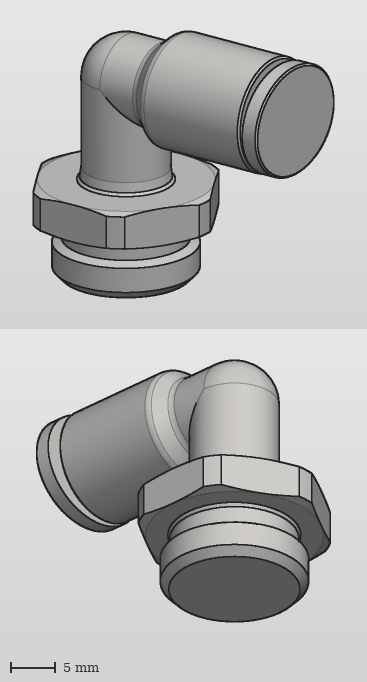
import cadquery as cq
import math

branch_height = 23.8
tube_radius = 5.05

hex_bottom = 6.95
hex_top = 11.45
hex_sides = 6
across_flats = 20.0
across_corners = across_flats / math.cos(math.pi / hex_sides)
corner_radius = 11.0
hex_chamfer_angle = 18

thread_radius = 8.35
thread_tip_radius = 7.37
thread_tip_height = 1.0
thread_shoulder = 3.9
groove_radius = 7.25
groove_bottom = 4.45
groove_top = 6.5
groove_flare_radius = 7.47

foot_root_radius = 5.55
foot_radius = 5.22
foot_step_height = 11.8
foot_top = 12.98

sleeve_radius = 6.78
sleeve_end = 20.65
sleeve_chamfer = 0.25
cone_start = 4.98
cone_length = 2.05
cone_blend = 1.1

neck_radius = 4.85
ring_start = 21.62
ring_end = 23.6
ring_half_width = 7.47
ring_half_height = 6.5
ring_chamfer = 0.2


def hex_flange():
    """Hexagon with two flats facing +Y and -Y, rounded corners and chamfered faces."""
    height = hex_top - hex_bottom
    prism = (
        cq.Workplane("XY", origin=(0, 0, hex_bottom))
        .polygon(hex_sides, across_corners)
        .extrude(height)
    )
    face_radius = across_flats / 2
    drop = (corner_radius - face_radius) * math.tan(math.radians(hex_chamfer_angle))
    envelope = (
        cq.Workplane("XZ")
        .moveTo(0, hex_bottom)
        .lineTo(face_radius, hex_bottom)
        .lineTo(corner_radius, hex_bottom + drop)
        .lineTo(corner_radius, hex_top - drop)
        .lineTo(face_radius, hex_top)
        .lineTo(0, hex_top)
        .close()
        .revolve(360, (0, 0), (0, 1))
    )
    return prism.intersect(envelope)


def threaded_end():
    """Plain thread envelope with a bevelled tip and a relief groove under the flange."""
    return (
        cq.Workplane("XZ")
        .lineTo(thread_tip_radius, 0)
        .lineTo(thread_radius, thread_tip_height)
        .lineTo(thread_radius, thread_shoulder)
        .lineTo(groove_radius, groove_bottom)
        .lineTo(groove_radius, groove_top)
        .lineTo(groove_flare_radius, hex_bottom)
        .lineTo(0, hex_bottom)
        .close()
        .revolve(360, (0, 0), (0, 1))
    )


def stem():
    """Vertical tube with a flared foot and a domed top that forms the elbow."""
    dome_middle = tube_radius * math.sqrt(0.5)
    dome_base = branch_height - hex_top
    return (
        cq.Workplane("XZ", origin=(0, 0, hex_top))
        .lineTo(foot_root_radius, 0)
        .lineTo(foot_radius, foot_step_height - hex_top)
        .lineTo(tube_radius, foot_top - hex_top)
        .lineTo(tube_radius, dome_base)
        .threePointArc(
            (dome_middle, dome_base + dome_middle),
            (0, dome_base + tube_radius),
        )
        .close()
        .revolve(360, (0, 0), (0, 1))
    )


def branch():
    """Horizontal tube widening through a blended cone into the sleeve."""
    body = (
        cq.Workplane("XZ", origin=(0, 0, branch_height))
        .lineTo(0, tube_radius)
        .lineTo(cone_start, tube_radius)
        .lineTo(cone_start + cone_length, sleeve_radius)
        .lineTo(sleeve_end, sleeve_radius)
        .lineTo(sleeve_end, 0)
        .close()
        .revolve(360, (0, 0), (1, 0))
    )
    body = body.faces(">X").chamfer(sleeve_chamfer)
    cone_face = body.faces("%CONE").faces("<X")
    return cone_face.edges("%CIRCLE").fillet(cone_blend)


def release_ring():
    """Round neck carrying an elliptical push ring, wider along Y."""
    neck = (
        cq.Workplane("YZ", origin=(sleeve_end, 0, branch_height))
        .circle(neck_radius)
        .extrude(ring_start - sleeve_end)
    )
    ring = (
        cq.Workplane("YZ", origin=(ring_start, 0, branch_height))
        .ellipse(ring_half_width, ring_half_height)
        .extrude(ring_end - ring_start)
        .faces(">X")
        .chamfer(ring_chamfer)
    )
    return neck.union(ring)


lower_body = threaded_end().union(hex_flange()).union(stem())
result = lower_body.union(branch()).union(release_ring())